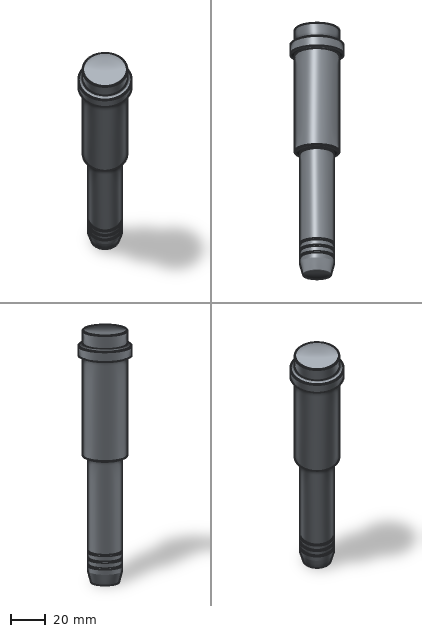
import cadquery as cq
import math

total_length = 150.0

body_radius = 13.0
collar_radius = 15.5
head_height = 9.0
collar_height = 6.0
body_length = 75.0
edge_chamfer = 0.5

shaft_radius = 10.0
taper_length = 7.0
taper_angle = 15.0
tip_fillet = 0.5

relief_width = 1.0
relief_depth = 0.5

groove_radius = 0.5
ring_count = 3
ring_pitch = 4.0
ring_land = 3.0

collar_top = total_length - head_height
collar_bottom = collar_top - collar_height
body_bottom = total_length - body_length
tip_radius = shaft_radius - taper_length * math.tan(math.radians(taper_angle))
lowest_ring_center = taper_length + ring_land + groove_radius


def cylinder(radius, bottom, top):
    """Solid cylinder on the Z axis between two heights."""
    return cq.Workplane("XY").workplane(offset=bottom).circle(radius).extrude(top - bottom)


def make_shaft():
    """Pilot shaft with its tapered, rounded tip."""
    return (
        cq.Workplane("XZ")
        .polyline([
            (0, 0),
            (tip_radius, 0),
            (shaft_radius, taper_length),
            (shaft_radius, body_bottom),
            (0, body_bottom),
        ])
        .close()
        .revolve(360, (0, 0), (0, 1))
        .faces("<Z")
        .fillet(tip_fillet)
    )


def make_body():
    """Upper body, chamfered at both ends, with its collar chamfered on top."""
    barrel = cylinder(body_radius, body_bottom, total_length)
    barrel = barrel.faces("<Z or >Z").chamfer(edge_chamfer)
    collar = cylinder(collar_radius, collar_bottom, collar_top)
    collar = collar.faces(">Z").chamfer(edge_chamfer)
    return barrel.union(collar)


def groove_cutter(radius, center):
    """Torus cutter for a half-round groove; its section circle starts at the groove floor."""
    section = cq.Plane(origin=(radius, 0, center), xDir=(-1, 0, 0), normal=(0, 1, 0))
    return (
        cq.Workplane(section)
        .circle(groove_radius)
        .revolve(360, (radius, 0), (radius, 1))
    )


def relief_cutter():
    """Square-section ring cutter around the top of the pilot shaft."""
    relief_bottom = body_bottom - relief_width
    outside = cylinder(body_radius, relief_bottom, body_bottom)
    core = cylinder(shaft_radius - relief_depth, relief_bottom, body_bottom)
    return outside.cut(core)


result = make_body().union(make_shaft())

result = result.cut(groove_cutter(body_radius, collar_top + groove_radius))
result = result.cut(groove_cutter(body_radius, collar_bottom - groove_radius))
result = result.cut(relief_cutter())

for index in range(ring_count):
    result = result.cut(groove_cutter(shaft_radius, lowest_ring_center + index * ring_pitch))